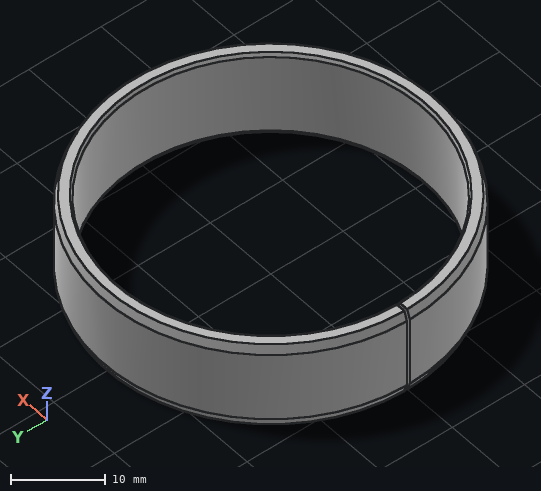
import cadquery as cq
import math

outer_diameter = 46.0
wall = 2.0
height = 12.0
outer_chamfer_height = 1.2
outer_chamfer_angle = 20.0
inner_chamfer_height = 0.5
inner_chamfer_depth = 0.28
slit_angle = 1.0

outer_radius = outer_diameter / 2
inner_radius = outer_radius - wall
half_height = height / 2
outer_chamfer_depth = outer_chamfer_height * math.tan(math.radians(outer_chamfer_angle))


def split_ring():
    """Revolve the wall section, chamfered at both ends, about Z, leaving the slit open."""
    end_outer_radius = outer_radius - outer_chamfer_depth
    end_inner_radius = inner_radius + inner_chamfer_depth
    outer_edge_z = half_height - outer_chamfer_height
    inner_edge_z = half_height - inner_chamfer_height
    section = (
        cq.Workplane("XZ")
        .moveTo(inner_radius, -inner_edge_z)
        .lineTo(end_inner_radius, -half_height)
        .lineTo(end_outer_radius, -half_height)
        .lineTo(outer_radius, -outer_edge_z)
        .lineTo(outer_radius, outer_edge_z)
        .lineTo(end_outer_radius, half_height)
        .lineTo(end_inner_radius, half_height)
        .lineTo(inner_radius, inner_edge_z)
        .close()
    )
    return section.revolve(360 - slit_angle, (0, 0, 0), (0, 1, 0))


result = split_ring().rotate((0, 0, 0), (0, 0, 1), 180)